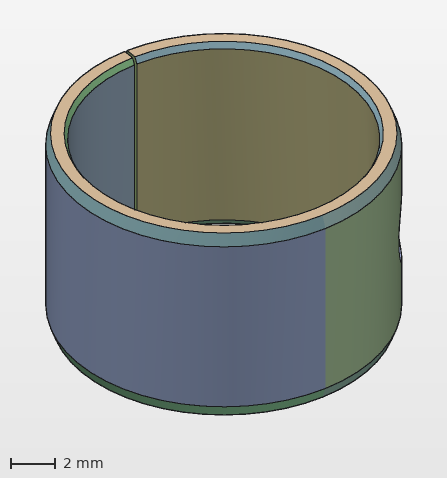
import cadquery as cq
import math

outer_diameter = 16.0
length = 10.0
wall = 1.0
outer_radius = outer_diameter / 2
inner_radius = outer_radius - wall

outer_chamfer_length = 0.6
outer_chamfer_angle = 20.0
outer_chamfer_depth = outer_chamfer_length * math.tan(math.radians(outer_chamfer_angle))
inner_chamfer_length = 0.3
inner_chamfer_depth = 0.16

hole_diameter = 4.0
hole_angle = 59.0

split_width = 0.13
split_center_y = split_width / 2


def ring():
    """Revolve the wall section, chamfered at all four edges."""
    top = length / 2
    outer_shoulder = top - outer_chamfer_length
    inner_shoulder = top - inner_chamfer_length
    section = [
        (outer_radius, -outer_shoulder),
        (outer_radius, outer_shoulder),
        (outer_radius - outer_chamfer_depth, top),
        (inner_radius + inner_chamfer_depth, top),
        (inner_radius, inner_shoulder),
        (inner_radius, -inner_shoulder),
        (inner_radius + inner_chamfer_depth, -top),
        (outer_radius - outer_chamfer_depth, -top),
    ]
    return cq.Workplane("XZ").polyline(section).close().revolve(360, (0, 0), (0, 1))


def oil_hole():
    """Cylinder running from the axis out through one side of the wall."""
    return (
        cq.Workplane("YZ")
        .circle(hole_diameter / 2)
        .extrude(outer_diameter)
        .rotate((0, 0, 0), (0, 0, 1), hole_angle)
    )


def split():
    """Thin slot from the axis out through the -X side, over the full length."""
    return (
        cq.Workplane("XY")
        .box(outer_diameter, split_width, 2 * length)
        .translate((-outer_radius, split_center_y, 0))
    )


result = ring().cut(oil_hole()).cut(split())